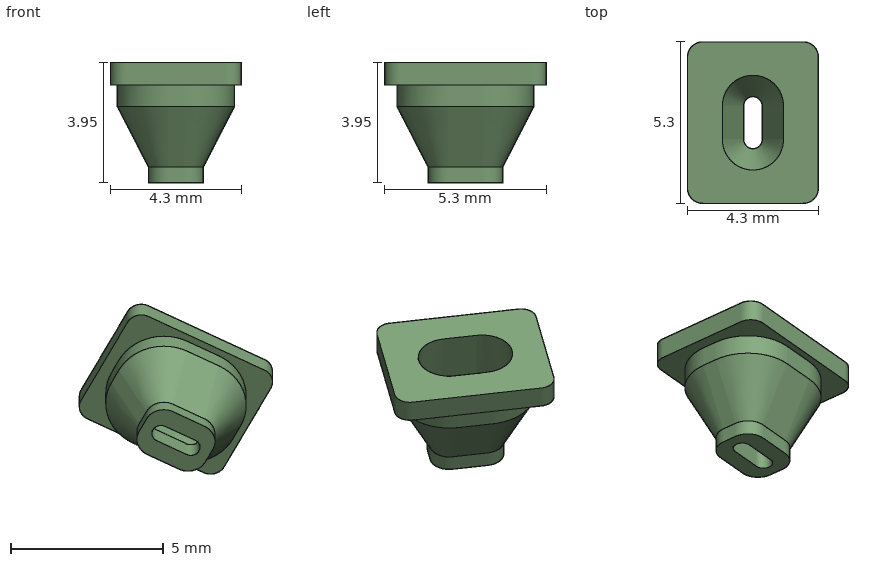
import cadquery as cq

flange_x = 4.3
flange_y = 5.3
flange_thickness = 0.745
flange_corner_radius = 0.505

total_height = 3.95
core_x = 0.52
core_y = 1.165
collar_radius = 1.665
collar_height = 0.695
tip_radius = 0.64
tip_height = 0.52

slot_center_distance = 1.1
mouth_width = 2.005
widest_width = 2.225
flare_depth = 1.67
outlet_height = 0.745
outlet_width = 0.6

flange_bottom = total_height - flange_thickness
collar_bottom = flange_bottom - collar_height
funnel_top = total_height - flare_depth


def body_section(z, radius):
    """Core rectangle grown outward by a corner radius, at height z."""
    return (
        cq.Sketch()
        .rect(core_x + 2 * radius, core_y + 2 * radius)
        .vertices()
        .fillet(radius)
        .moved(cq.Location(cq.Vector(0, 0, z)))
    )


def body_prism(z, radius, height):
    return cq.Workplane("XY").placeSketch(body_section(z, radius)).extrude(height)


def slot_prism(z, width, height):
    length = slot_center_distance + width
    return cq.Workplane("XY").workplane(offset=z).slot2D(length, width, 90).extrude(height)


def slot_taper(z_low, width_low, z_high, width_high):
    """Slot changing evenly from one width at z_low to another at z_high."""
    return (
        cq.Workplane("XY")
        .workplane(offset=z_low)
        .slot2D(slot_center_distance + width_low, width_low, 90)
        .workplane(offset=z_high - z_low)
        .slot2D(slot_center_distance + width_high, width_high, 90)
        .loft(ruled=True)
    )


flange = (
    cq.Workplane("XY")
    .workplane(offset=flange_bottom)
    .rect(flange_x, flange_y)
    .extrude(flange_thickness)
    .edges("|Z")
    .fillet(flange_corner_radius)
)

collar = body_prism(collar_bottom, collar_radius, collar_height)
tip = body_prism(0, tip_radius, tip_height)
cone = (
    cq.Workplane("XY")
    .placeSketch(body_section(tip_height, tip_radius), body_section(collar_bottom, collar_radius))
    .loft(ruled=True)
)

outlet = slot_prism(0, outlet_width, outlet_height)
funnel = slot_taper(outlet_height, outlet_width, funnel_top, widest_width)
mouth = slot_taper(funnel_top, widest_width, total_height, mouth_width)
passage = outlet.union(funnel).union(mouth)

result = flange.union(collar).union(cone).union(tip).cut(passage)